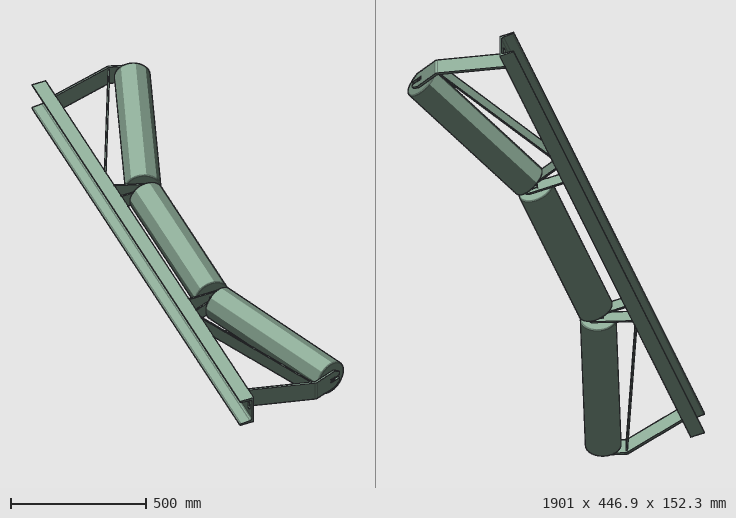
import cadquery as cq
import math


channel_length = 1901.0
channel_height = 120.0
flange_width = 55.0
web_thickness = 7.0
flange_mid_thickness = 9.0
flange_taper = 0.08
root_radius = 9.0
toe_radius = 4.5

mount_slot_x = 922.0
mount_slot_width = 17.0
mount_slot_height = 35.0

roller_diameter = 133.0
roller_length = 600.0
roller_edge_radius = 4.0
shaft_diameter = 23.0
shaft_flats = 13.0
trough_angle = 20.0
tilt_angle = 1.8
middle_roller_y = 118.0
middle_roller_z = -19.0
side_roller_x = 625.0
side_roller_y = 228.0
side_roller_z = middle_roller_z + 10.0

bracket_height = 80.0
bracket_thickness = 8.5
bend_radius = 8.0
shaft_slot_height = 15.0
shaft_clearance = 1.0

outer_gap = 5.0
outer_foot_x = 885.0
outer_bend_y = 253.0
outer_tip_y = 365.0
tip_chamfer_along = 25.0
tip_chamfer_across = 19.0

middle_gap = 5.0
side_gap = 4.0
inner_thickness = 6.0
inner_height = 57.0
inner_bend_radius = 8.0
inner_slot_height = 17.0
inner_slot_length = 76.0

brace_thickness = 5.0
brace_height = 57.0
brace_foot_x = 416.0
brace_head_x = 945.0
brace_head_y = 250.0

trough = math.radians(trough_angle)
tilt = math.radians(tilt_angle)
across_axis = trough + math.pi / 2
upright = math.pi / 2


def along(point, angle, distance):
    """Move a plan point a distance in the direction of an angle."""
    return (point[0] + distance * math.cos(angle), point[1] + distance * math.sin(angle))


def meet(point_a, angle_a, point_b, angle_b):
    """Crossing of two plan lines, each given by a point and an angle."""
    dx = point_b[0] - point_a[0]
    dy = point_b[1] - point_a[1]
    distance = (dx * math.sin(angle_b) - dy * math.cos(angle_b)) / math.sin(angle_b - angle_a)
    return along(point_a, angle_a, distance)


def on_back(point, angle):
    """Where a plan line reaches the back face of the channel."""
    return meet(point, angle, (0, 0), 0)


def plate(outline, height):
    """Upright plate with the given plan outline, centred on mid-height."""
    return cq.Workplane("XY", origin=(0, 0, -height / 2)).polyline(outline).close().extrude(height)


def round_bend(solid, corner, radius):
    """Round the upright edge that stands on a plan point."""
    return solid.edges(cq.selectors.BoxSelector(
        (corner[0] - 0.2, corner[1] - 0.2, -0.2),
        (corner[0] + 0.2, corner[1] + 0.2, 0.2),
    )).fillet(radius)


def mirrored(solid):
    """The same body on the other side of the middle roller."""
    return solid.mirror("YZ")


def make_channel():
    half = channel_height / 2
    mid_flange = flange_width / 2
    toe_z = half - flange_mid_thickness + flange_taper * mid_flange
    root_z = half - flange_mid_thickness - flange_taper * (mid_flange - web_thickness)
    outline = [
        (0, -half),
        (-flange_width, -half),
        (-flange_width, -toe_z),
        (-web_thickness, -root_z),
        (-web_thickness, root_z),
        (-flange_width, toe_z),
        (-flange_width, half),
        (0, half),
    ]
    start = (-channel_length / 2, 0, 0)
    channel = cq.Workplane("YZ", origin=start).polyline(outline).close().extrude(channel_length)
    for side in (-1, 1):
        for y, z, radius in (
            (-web_thickness, root_z, root_radius),
            (-flange_width, toe_z, toe_radius),
        ):
            channel = channel.edges(cq.selectors.NearestToPointSelector((0, y, side * z))).fillet(radius)
    slots = (
        cq.Workplane("XZ")
        .pushPoints([(-mount_slot_x, 0), (mount_slot_x, 0)])
        .slot2D(mount_slot_height, mount_slot_width, 90)
        .extrude(web_thickness)
    )
    return channel.cut(slots)


def make_roller(shaft_reach):
    """Roller along X, centred on the origin; its flattened shaft reaches out of both ends."""
    shell = (
        cq.Workplane("YZ", origin=(-roller_length / 2, 0, 0))
        .circle(roller_diameter / 2)
        .extrude(roller_length)
        .faces("<X or >X")
        .edges()
        .fillet(roller_edge_radius)
    )
    shaft_length = roller_length + 2 * shaft_reach
    shaft = (
        cq.Workplane("YZ", origin=(-shaft_length / 2, 0, 0))
        .circle(shaft_diameter / 2)
        .extrude(shaft_length)
    )
    flats = cq.Workplane("XY").box(shaft_length, shaft_diameter, shaft_flats)
    return shell.union(shaft.intersect(flats))


def make_middle_roller():
    return make_roller(middle_gap + inner_thickness).translate((0, middle_roller_y, middle_roller_z))


def make_side_roller():
    roller = make_roller(side_gap + inner_thickness)
    roller = roller.rotate((0, 0, 0), (0, 1, 0), -tilt_angle)
    roller = roller.rotate((0, 0, 0), (0, 0, 1), trough_angle)
    return roller.translate((side_roller_x, side_roller_y, side_roller_z))


def side_axis_point(distance):
    """Plan point on the side roller's axis, measured outward from the roller's centre."""
    return along((side_roller_x, side_roller_y), trough, distance)


def make_outer_bracket():
    foot = (outer_foot_x, 0)
    upper_face = side_axis_point(roller_length / 2 + outer_gap + bracket_thickness)
    bend = meet(upper_face, across_axis, (0, outer_bend_y), 0)
    tip = meet(upper_face, across_axis, (0, outer_tip_y), 0)
    lower_angle = math.atan2(bend[1] - foot[1], bend[0] - foot[0])

    inner_lower = along(foot, lower_angle + upright, bracket_thickness)
    inner_tip = along(tip, trough, -bracket_thickness)
    inner_bend = meet(inner_tip, across_axis, inner_lower, lower_angle)
    inner_foot = on_back(inner_lower, lower_angle)

    bracket = plate([foot, bend, tip, inner_tip, inner_bend, inner_foot], bracket_height)
    bracket = round_bend(bracket, bend, bend_radius + bracket_thickness)
    bracket = round_bend(bracket, inner_bend, bend_radius)

    face = cq.Plane(
        origin=(tip[0], tip[1], 0),
        xDir=(math.sin(trough), -math.cos(trough), 0),
        normal=(-math.cos(trough), -math.sin(trough), 0),
    )
    half = bracket_height / 2
    for side in (-1, 1):
        corner = (
            cq.Workplane(face)
            .polyline([
                (0, side * half),
                (tip_chamfer_along, side * half),
                (0, side * (half - tip_chamfer_across)),
            ])
            .close()
            .extrude(bracket_thickness)
        )
        bracket = bracket.cut(corner)

    slot_length = math.dist(tip, upper_face) + shaft_diameter / 2 + shaft_clearance
    shaft_z = side_roller_z + roller_length / 2 * math.sin(tilt)
    slot = (
        cq.Workplane(face)
        .center(slot_length / 2, shaft_z)
        .rect(slot_length, shaft_slot_height)
        .extrude(bracket_thickness)
    )
    return bracket.cut(slot)


def make_inner_bracket():
    straight_x = roller_length / 2 + middle_gap
    straight_foot = (straight_x, 0)
    inner_straight_foot = (straight_x + inner_thickness, 0)
    sloped_face = side_axis_point(-roller_length / 2 - side_gap)
    inner_sloped_face = along(sloped_face, trough, -inner_thickness)

    peak = meet(sloped_face, across_axis, straight_foot, upright)
    inner_peak = meet(inner_sloped_face, across_axis, inner_straight_foot, upright)
    bracket = plate(
        [
            straight_foot,
            peak,
            on_back(sloped_face, across_axis),
            on_back(inner_sloped_face, across_axis),
            inner_peak,
            inner_straight_foot,
        ],
        inner_height,
    )
    bracket = round_bend(bracket, peak, inner_bend_radius + inner_thickness)
    bracket = round_bend(bracket, inner_peak, inner_bend_radius)

    slot_floor = middle_roller_y - shaft_diameter / 2 - shaft_clearance
    slot = (
        cq.Workplane("XY")
        .box(inner_slot_length, inner_slot_length, inner_slot_height, centered=(True, False, True))
        .translate((peak[0], slot_floor, middle_roller_z))
    )
    return bracket.translate((0, 0, middle_roller_z)).cut(slot)


def make_brace():
    foot = (brace_foot_x, 0)
    head = (brace_head_x, brace_head_y)
    angle = math.atan2(head[1] - foot[1], head[0] - foot[0])
    upper_head = along(head, angle + upright, brace_thickness)
    outline = [foot, head, upper_head, on_back(upper_head, angle)]
    return plate(outline, brace_height)


outer_bracket = make_outer_bracket()
inner_bracket = make_inner_bracket()
side_roller = make_side_roller()
brace = make_brace().cut(outer_bracket)

bodies = [make_channel().val(), make_middle_roller().val()]
for body in (side_roller, outer_bracket, inner_bracket, brace):
    bodies.append(body.val())
    bodies.append(mirrored(body).val())

result = cq.Compound.makeCompound(bodies)